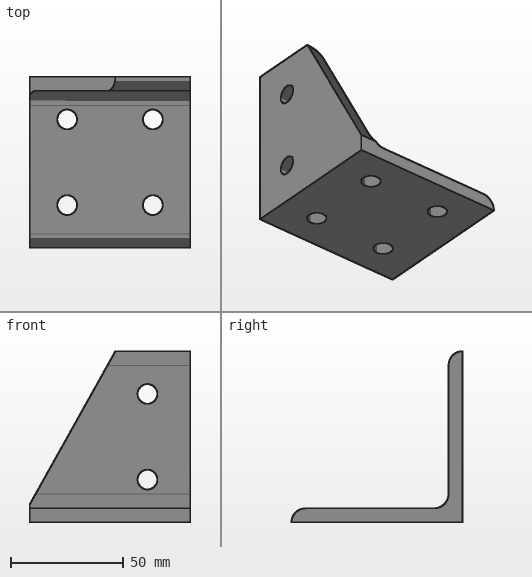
import cadquery as cq

LEG = 76.2
WIDTH = 71.4
THICKNESS = 6.3
TOE_RADIUS = THICKNESS
ROOT_RADIUS = 6.4

SLOPE_START_HEIGHT = 8.1
TOP_LENGTH = 33.3

HOLE_DIAMETER = 8.7
HOLE_PITCH = 38.1
EDGE_DISTANCE = 19.05


def angle_bar():
    """L section extruded along X, with its outer heel at Y = LEG, Z = 0."""
    inner_y = LEG - THICKNESS
    return (
        cq.Workplane("YZ")
        .moveTo(0, 0)
        .lineTo(LEG, 0)
        .lineTo(LEG, LEG)
        .radiusArc((inner_y, LEG - TOE_RADIUS), -TOE_RADIUS)
        .lineTo(inner_y, THICKNESS + ROOT_RADIUS)
        .radiusArc((inner_y - ROOT_RADIUS, THICKNESS), ROOT_RADIUS)
        .lineTo(TOE_RADIUS, THICKNESS)
        .radiusArc((0, 0), -TOE_RADIUS)
        .close()
        .extrude(WIDTH)
    )


def slope_cutter():
    """Triangular wedge that removes the upper -X corner of the upright leg."""
    return (
        cq.Workplane("XZ")
        .moveTo(0, SLOPE_START_HEIGHT)
        .lineTo(WIDTH - TOP_LENGTH, LEG)
        .lineTo(0, LEG)
        .close()
        .extrude(-LEG)
    )


def base_holes():
    """Square pattern of four vertical holes, centred on the base."""
    return (
        cq.Workplane("XY")
        .center(WIDTH / 2, LEG / 2)
        .rarray(HOLE_PITCH, HOLE_PITCH, 2, 2)
        .circle(HOLE_DIAMETER / 2)
        .extrude(THICKNESS)
    )


def upright_holes():
    """Two holes along Y, one above the other, near the +X side."""
    return (
        cq.Workplane("XZ")
        .center(WIDTH - EDGE_DISTANCE, LEG / 2)
        .rarray(0.8, HOLE_PITCH, 1, 2)
        .circle(HOLE_DIAMETER / 2)
        .extrude(-LEG)
    )


result = angle_bar().cut(slope_cutter()).cut(base_holes()).cut(upright_holes())